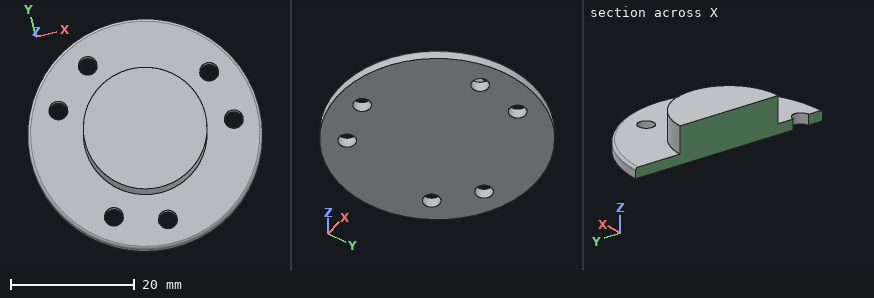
import cadquery as cq

flange_diameter = 38.0
flange_thickness = 2.0
flange_edge_radius = 0.5
boss_diameter = 20.0
total_height = 7.0

hole_diameter = 3.0
hole_circle_radius = 14.5
pair_count = 3
first_hole_angle = 30.0
pair_spread_angle = 35.0


def make_flange():
    """Disc resting on Z = 0 with a rounded upper rim."""
    disc = cq.Workplane("XY").circle(flange_diameter / 2).extrude(flange_thickness)
    return disc.faces(">Z").edges().fillet(flange_edge_radius)


def make_boss():
    """Solid cylinder standing in the middle of the flange."""
    return cq.Workplane("XY").circle(boss_diameter / 2).extrude(total_height)


def make_hole_ring(start_angle):
    """Cutting pins evenly spaced around the pitch circle."""
    return (
        cq.Workplane("XY")
        .polarArray(hole_circle_radius, start_angle, 360, pair_count)
        .circle(hole_diameter / 2)
        .extrude(flange_thickness)
    )


result = make_flange().union(make_boss())
for ring_angle in (first_hole_angle, first_hole_angle - pair_spread_angle):
    result = result.cut(make_hole_ring(ring_angle))